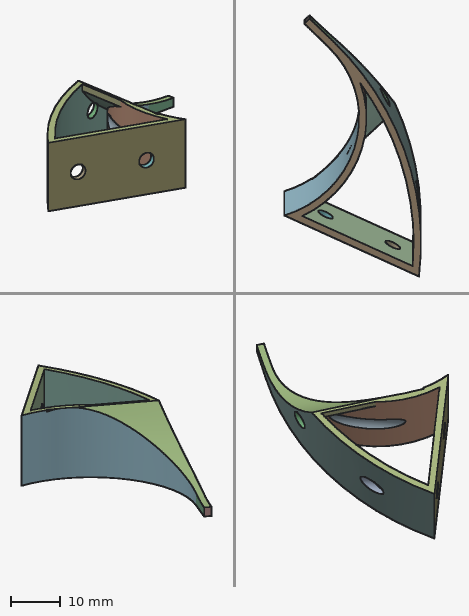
import cadquery as cq
import math

length = 54.65
height = 15.0
wall = 1.5

tail_width = 1.55
tail_start_y = 47.65
convex_radius = 61.55
concave_radius = 21.7
tip_x = 32.9
convex_center = (convex_radius, tail_start_y)
concave_center = (tail_width + concave_radius, tail_start_y)
heel_x = convex_radius - math.sqrt(convex_radius**2 - tail_start_y**2)
tip_y = concave_center[1] - math.sqrt(concave_radius**2 - (tip_x - concave_center[0]) ** 2)

tail_height = 1.95
slope_radius = 37.9
slope_center_z = tail_height + slope_radius
slope_end_x = 27.15

hole_diameter = 3.2
hole_z = height / 2
hole_distances = (6.55, 21.5)
end_angle = math.atan2(tip_y, tip_x - heel_x)
end_direction = (math.cos(end_angle), math.sin(end_angle))
inward_direction = (-math.sin(end_angle), math.cos(end_angle))


def point_on_circle(center, radius, degrees):
    angle = math.radians(degrees)
    return (center[0] + radius * math.cos(angle), center[1] + radius * math.sin(angle))


def upright_cylinder(center, radius, depth):
    return cq.Workplane("XY").center(*center).circle(radius).extrude(depth)


def slope_cylinder(radius, end_x):
    """Cylinder along X, from the convex side to end_x, centred above the tail end."""
    return cq.Workplane("YZ").center(length, slope_center_z).circle(radius).extrude(end_x)


def make_blank():
    convex_middle = point_on_circle(convex_center, convex_radius, 200)
    concave_middle = point_on_circle(concave_center, concave_radius, 240)
    return (
        cq.Workplane("XY")
        .moveTo(0, length)
        .lineTo(0, tail_start_y)
        .threePointArc(convex_middle, (heel_x, 0))
        .lineTo(tip_x, tip_y)
        .threePointArc(concave_middle, (tail_width, tail_start_y))
        .lineTo(tail_width, length)
        .close()
        .extrude(height)
    )


def make_cavity_plan(depth):
    """Outline of the cavity, one wall inside each side, extruded upward."""
    inner_heel_x = heel_x - wall / math.sin(end_angle)
    end_top_x = inner_heel_x + tail_start_y / math.tan(end_angle)
    return (
        cq.Workplane("XY")
        .polyline([(0, 0), (inner_heel_x, 0), (end_top_x, tail_start_y), (0, tail_start_y)])
        .close()
        .extrude(depth)
        .intersect(upright_cylinder(convex_center, convex_radius - wall, depth))
        .cut(upright_cylinder(concave_center, concave_radius + wall, depth))
    )


def make_cavity():
    """Cavity open at top and bottom, with a roof one wall thick under the slope."""
    roof_z = height - wall
    roof_radius = slope_radius + wall
    opening_y = length - math.sqrt(roof_radius**2 - (slope_center_z - roof_z) ** 2)
    room = make_cavity_plan(roof_z).cut(slope_cylinder(roof_radius, slope_end_x))
    lip = (
        cq.Workplane("XY")
        .box(slope_end_x, length - opening_y, wall, centered=False)
        .translate((0, opening_y, 0))
    )
    opening = make_cavity_plan(wall).cut(lip).translate((0, 0, roof_z))
    return room.union(opening)


def make_hole(distance):
    start = cq.Vector(heel_x + distance * end_direction[0], distance * end_direction[1], hole_z)
    axis = cq.Vector(*inward_direction, 0)
    return cq.Solid.makeCylinder(hole_diameter / 2, length, start - axis * wall, axis)


result = make_blank().cut(slope_cylinder(slope_radius, slope_end_x)).cut(make_cavity())
for distance in hole_distances:
    result = result.cut(cq.Workplane(make_hole(distance)))